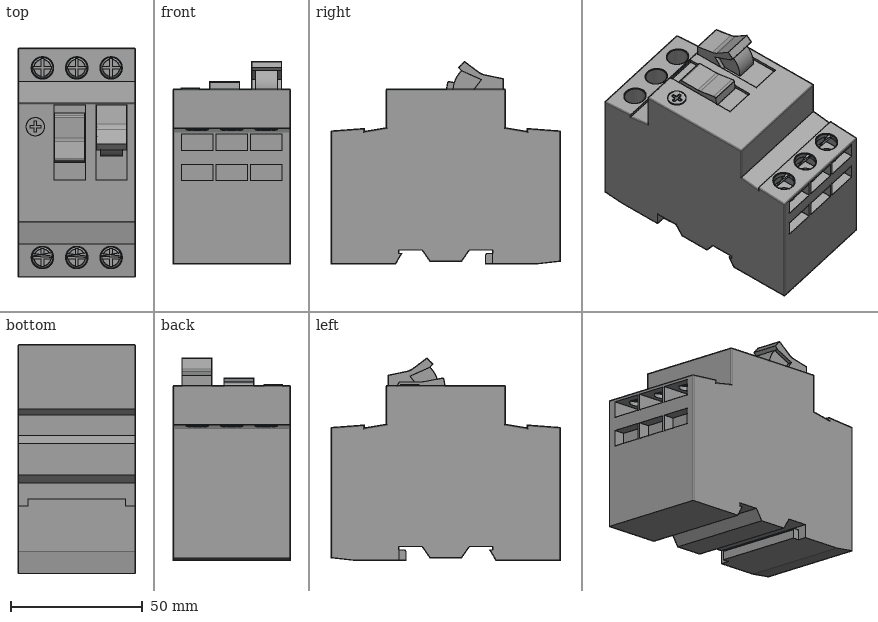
import cadquery as cq
import math

WIDTH = 44.5
LENGTH = 87.0
DECK_Z = 66.4
TOWER_LENGTH = 45.2
TOWER_FOOT_Z = 51.7
GROOVE_Z = 50.3
TERRACE_HALF_LENGTH = 30.9
TERRACE_INNER_Z = 51.4
TERRACE_OUTER_Z = 50.5
EDGE_RADIUS = 0.35

RECESS_Z = 5.2
RAIL_PAD_Z = 1.0
RAIL_PAD_HALF = 6.0
RAIL_PAD_ROOT_HALF = 9.0
RECESS_HALF = 17.8
HOOK_Z = 4.0
HOOK_TIP_Y = -16.7
HOOK_FOOT_Y = -19.05
HEEL_Y = 35.1
HEEL_Z = 1.0
CLIP_WIDTH = 37.1
CLIP_REACH = 2.8
CLIP_CHAMFER = 0.6

POLE_PITCH = 13.05
POLE_POSITIONS = (-POLE_PITCH, 0, POLE_PITCH)
WINDOW_WIDTH = 12.0
WINDOW_HEIGHT = 6.2
UPPER_WINDOW_Z = 43.1
LOWER_WINDOW_Z = 31.6
UPPER_WINDOW_DEPTH = 13.05
LOWER_WINDOW_DEPTH = 4.7
WELL_Y = 36.0
WELL_RADIUS = 4.0
WELL_CHAMFER = 0.3
SCREW_SINK = 0.3
SCREW_FACE_RADIUS = 3.2
SCREW_BEVEL_HEIGHT = 0.7
SCREW_SLOT_LENGTH = 7.0
SCREW_SLOT_WIDTH = 1.05
SCREW_SLOT_DEPTH = 1.05

POCKET_DEPTH = 1.05
POCKET_FLOOR_Z = DECK_Z - POCKET_DEPTH
POCKET_BACK_Y = 21.9
POCKET_FRONT_Y = -6.5
ROCKER_X = -2.7
ROCKER_POCKET_WIDTH = 11.9
TOGGLE_X = 13.2
TOGGLE_POCKET_WIDTH = 11.7
LEVER_WIDTH = 11.4
ROCKER_FRONT_Y = 0.1
ROCKER_BACK_Y = 19.0
ROCKER_FACE_Z = 67.8
TOGGLE_WEB_WIDTH = 8.35
TOGGLE_WEB_FRONT_Y = 2.6
TOGGLE_TOP_Z = 76.8
TOGGLE_BLOCK_FRONT_Y = 10.0
TOGGLE_NOTCH_Y = 13.6
TOGGLE_NOTCH_Z = 69.95
TOGGLE_GRIP_Y = 6.0
TOGGLE_GRIP_Z = 73.3

BUTTON_X = -15.75
BUTTON_Y = 13.7
BUTTON_RADIUS = 3.5
BUTTON_HEIGHT = 0.4
BUTTON_CROSS_LENGTH = 4.2
BUTTON_CROSS_WIDTH = 1.0

OVERLAP = 0.4
LEVER_ROOT_Z = POCKET_FLOOR_Z - OVERLAP


def extrude_across(sketch, width, center_x=0.0):
    """Extrude a YZ outline along X, centred on center_x."""
    return sketch.extrude(width / 2, both=True).translate((center_x, 0, 0))


def block(width, y_min, y_max, z_min, z_max, center_x=0.0):
    """Box centred on center_x and given by its Y and Z limits."""
    size_y = y_max - y_min
    box = cq.Workplane("XY").box(width, size_y, z_max - z_min, centered=(True, False, False))
    return box.translate((center_x, y_min, z_min))


def cross(length, width, height):
    """Plus-shaped prism standing on the XY plane."""
    bar = cq.Workplane("XY").rect(length, width).extrude(height)
    return bar.union(cq.Workplane("XY").rect(width, length).extrude(height))


def make_housing():
    half = LENGTH / 2
    tower_half = TOWER_LENGTH / 2
    outline = [
        (-half, 0),
        (-half, TERRACE_OUTER_Z),
        (-TERRACE_HALF_LENGTH, TERRACE_INNER_Z),
        (-TERRACE_HALF_LENGTH, GROOVE_Z),
        (-tower_half, TOWER_FOOT_Z),
        (-tower_half, DECK_Z),
        (tower_half, DECK_Z),
        (tower_half, TOWER_FOOT_Z),
        (TERRACE_HALF_LENGTH, GROOVE_Z),
        (TERRACE_HALF_LENGTH, TERRACE_INNER_Z),
        (half, TERRACE_OUTER_Z),
        (half, 0),
    ]
    housing = extrude_across(cq.Workplane("YZ").polyline(outline).close(), WIDTH)

    side_edges = housing.faces("<X or >X").edges("not <Z")
    end_edges = housing.faces("<Y or >Y").edges("|X and >Z")
    deck_edges = housing.faces(">Z").edges("|X")
    housing = housing.newObject(side_edges.vals() + end_edges.vals() + deck_edges.vals())
    return housing.fillet(EDGE_RADIUS)


def make_rail_recess():
    outline = [
        (RECESS_HALF, 0),
        (RECESS_HALF, RECESS_Z),
        (RAIL_PAD_ROOT_HALF, RECESS_Z),
        (RAIL_PAD_HALF, RAIL_PAD_Z),
        (-RAIL_PAD_HALF, RAIL_PAD_Z),
        (-RAIL_PAD_ROOT_HALF, RECESS_Z),
        (-RECESS_HALF, RECESS_Z),
        (-RECESS_HALF, HOOK_Z),
        (HOOK_TIP_Y, HOOK_Z),
        (HOOK_FOOT_Y, 0),
    ]
    recess = extrude_across(cq.Workplane("YZ").polyline(outline).close(), WIDTH)
    heel = [(HEEL_Y, 0), (LENGTH / 2, 0), (LENGTH / 2, HEEL_Z)]
    return recess.union(extrude_across(cq.Workplane("YZ").polyline(heel).close(), WIDTH))


def make_clip():
    clip = block(CLIP_WIDTH, RECESS_HALF - CLIP_REACH, RECESS_HALF + OVERLAP, 0, HOOK_Z)
    return clip.edges("|X and <Y and >Z").chamfer(CLIP_CHAMFER)


def make_windows():
    """Two wire windows of the pole at X = 0 on the -Y end."""
    end_y = -LENGTH / 2
    upper_top_z = UPPER_WINDOW_Z + WINDOW_HEIGHT
    lower_top_z = LOWER_WINDOW_Z + WINDOW_HEIGHT
    upper = block(WINDOW_WIDTH, end_y, end_y + UPPER_WINDOW_DEPTH, UPPER_WINDOW_Z, upper_top_z)
    lower = block(WINDOW_WIDTH, end_y, end_y + LOWER_WINDOW_DEPTH, LOWER_WINDOW_Z, lower_top_z)
    return upper.union(lower)


def cone(bottom_radius, top_radius, height, z):
    """Cone frustum on the Z axis starting at height z."""
    return cq.Workplane(cq.Solid.makeCone(bottom_radius, top_radius, height, cq.Vector(0, 0, z)))


def make_screw_well():
    """Countersunk well of the pole at X = 0 on the -Y end, ending on a cross-slotted screw head."""
    screw_top_z = UPPER_WINDOW_Z - SCREW_SINK
    well_bottom_z = screw_top_z - SCREW_BEVEL_HEIGHT
    well_height = DECK_Z - well_bottom_z
    well = cq.Workplane("XY").circle(WELL_RADIUS).extrude(well_height).translate((0, 0, well_bottom_z))

    slots = cross(SCREW_SLOT_LENGTH, SCREW_SLOT_WIDTH, SCREW_SLOT_DEPTH)
    slots = slots.translate((0, 0, screw_top_z - SCREW_SLOT_DEPTH))
    well = well.cut(cone(WELL_RADIUS, SCREW_FACE_RADIUS, SCREW_BEVEL_HEIGHT, well_bottom_z)).union(slots)

    slope = (TERRACE_INNER_Z - TERRACE_OUTER_Z) / (LENGTH / 2 - TERRACE_HALF_LENGTH)
    mouth_z = TERRACE_OUTER_Z + slope * (LENGTH / 2 - WELL_Y)
    mouth_center = (0, 0, mouth_z)
    mouth = cone(WELL_RADIUS, WELL_RADIUS + 2 * WELL_CHAMFER, 2 * WELL_CHAMFER, mouth_z - WELL_CHAMFER)
    mouth = mouth.rotate(mouth_center, (1, 0, mouth_z), math.degrees(math.atan(slope)))
    return well.union(mouth).translate((0, -WELL_Y, 0))


def make_rocker():
    """Rocker lever with a flat rear face and a raised, rounded front end."""
    outline = (
        cq.Workplane("YZ")
        .moveTo(ROCKER_FRONT_Y, LEVER_ROOT_Z)
        .lineTo(ROCKER_FRONT_Y, POCKET_FLOOR_Z)
        .lineTo(0.7, 68.8)
        .threePointArc((1.05, 69.2), (1.65, 69.2))
        .lineTo(8.1, 67.9)
        .lineTo(9.3, ROCKER_FACE_Z)
        .lineTo(17.1, ROCKER_FACE_Z)
        .threePointArc((17.6, 67.7), (17.8, 67.4))
        .lineTo(ROCKER_BACK_Y, POCKET_FLOOR_Z)
        .lineTo(ROCKER_BACK_Y, LEVER_ROOT_Z)
        .close()
    )
    return extrude_across(outline, LEVER_WIDTH, ROCKER_X)


def make_toggle():
    """Toggle lever: a wide handle on a narrower curved web."""
    handle = (
        cq.Workplane("YZ")
        .moveTo(POCKET_BACK_Y, LEVER_ROOT_Z)
        .lineTo(POCKET_BACK_Y, 70.3)
        .lineTo(14.8, 71.8)
        .threePointArc((13.7, 72.1), (12.6, 72.7))
        .lineTo(7.1, TOGGLE_TOP_Z)
        .lineTo(4.9, 74.6)
        .lineTo(TOGGLE_GRIP_Y, TOGGLE_GRIP_Z)
        .lineTo(TOGGLE_NOTCH_Y, TOGGLE_NOTCH_Z)
        .lineTo(TOGGLE_BLOCK_FRONT_Y, POCKET_FLOOR_Z)
        .lineTo(TOGGLE_BLOCK_FRONT_Y, LEVER_ROOT_Z)
        .close()
    )
    web = (
        cq.Workplane("YZ")
        .moveTo(TOGGLE_WEB_FRONT_Y, LEVER_ROOT_Z)
        .lineTo(TOGGLE_WEB_FRONT_Y, POCKET_FLOOR_Z)
        .lineTo(2.8, 66.3)
        .threePointArc((4.0, 70.7), (TOGGLE_GRIP_Y, TOGGLE_GRIP_Z))
        .lineTo(TOGGLE_NOTCH_Y, TOGGLE_NOTCH_Z + OVERLAP)
        .lineTo(TOGGLE_NOTCH_Y, LEVER_ROOT_Z)
        .close()
    )
    wide = extrude_across(handle, LEVER_WIDTH, TOGGLE_X)
    return wide.union(extrude_across(web, TOGGLE_WEB_WIDTH, TOGGLE_X))


def make_button():
    button = cq.Workplane("XY").circle(BUTTON_RADIUS).extrude(BUTTON_HEIGHT)
    button = button.cut(cross(BUTTON_CROSS_LENGTH, BUTTON_CROSS_WIDTH, BUTTON_HEIGHT))
    return button.translate((BUTTON_X, BUTTON_Y, DECK_Z))


def make_pocket(center_x, width):
    return block(width, POCKET_FRONT_Y, POCKET_BACK_Y, POCKET_FLOOR_Z, DECK_Z, center_x)


body = make_housing().cut(make_rail_recess()).union(make_clip())

windows = make_windows()
screw_well = make_screw_well()
for pole_x in POLE_POSITIONS:
    body = body.cut(windows.translate((pole_x, 0, 0)))
    pole_well = screw_well.translate((pole_x, 0, 0))
    body = body.cut(pole_well).cut(pole_well.mirror("XZ"))

body = body.cut(make_pocket(ROCKER_X, ROCKER_POCKET_WIDTH))
body = body.cut(make_pocket(TOGGLE_X, TOGGLE_POCKET_WIDTH))
body = body.union(make_rocker())
body = body.union(make_toggle())
body = body.union(make_button())

result = body